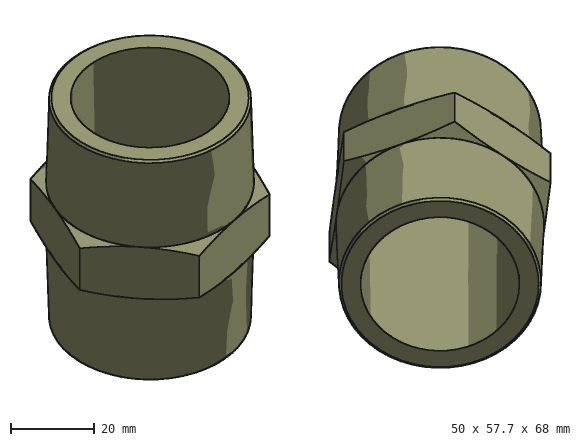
import cadquery as cq
import math

length = 68.0
across_flats = 50.0
hex_height = 16.0
hex_chamfer_angle = 22.0

bore_radius = 19.05
end_radius = 24.3
collar_radius = 24.95
collar_height = 1.15
end_chamfer_width = 0.6
end_chamfer_height = 0.55

half_length = length / 2
half_hex = hex_height / 2
flat_radius = across_flats / 2
corner_radius = flat_radius / math.cos(math.radians(30))


def make_hexagon():
    """Hexagon with flats facing X, its corners trimmed by a cone at both ends."""
    prism = (
        cq.Workplane("XY")
        .polygon(6, 2 * corner_radius)
        .extrude(hex_height)
        .rotate((0, 0, 0), (0, 0, 1), 30)
        .translate((0, 0, -half_hex))
    )
    drop = (corner_radius - flat_radius) * math.tan(math.radians(hex_chamfer_angle))
    envelope = (
        cq.Workplane("XZ")
        .moveTo(0, -half_hex)
        .lineTo(flat_radius, -half_hex)
        .lineTo(corner_radius, -half_hex + drop)
        .lineTo(corner_radius, half_hex - drop)
        .lineTo(flat_radius, half_hex)
        .lineTo(0, half_hex)
        .close()
        .revolve(360, (0, 0, 0), (0, 1, 0))
    )
    return prism.intersect(envelope)


def make_upper_end():
    """Straight collar from the middle plane, then a taper up to the chamfered rim."""
    taper_start = half_hex + collar_height
    return (
        cq.Workplane("XZ")
        .lineTo(collar_radius, 0)
        .lineTo(collar_radius, taper_start)
        .lineTo(end_radius, half_length - end_chamfer_height)
        .lineTo(end_radius - end_chamfer_width, half_length)
        .lineTo(0, half_length)
        .close()
        .revolve(360, (0, 0, 0), (0, 1, 0))
    )


upper_end = make_upper_end()
lower_end = upper_end.mirror("XY")
bore = cq.Workplane("XY").circle(bore_radius).extrude(half_length, both=True)

result = make_hexagon().union(upper_end).union(lower_end).cut(bore)